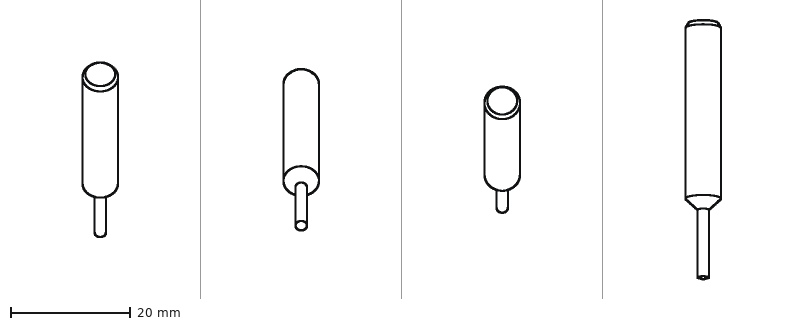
import cadquery as cq
import math

total_length = 44.0

shank_diameter = 6.0
shank_start = 13.85
end_chamfer_width = 0.5
end_chamfer_height = 0.85

drill_diameter = 1.95
drill_length = 11.95
tip_angle = 140.0

shank_radius = shank_diameter / 2
drill_radius = drill_diameter / 2
tip_height = drill_radius / math.tan(math.radians(tip_angle / 2))


def revolve_about_z(profile_points):
    """Turn a closed (radius, height) outline about the Z axis."""
    return (
        cq.Workplane("XZ")
        .polyline(profile_points)
        .close()
        .revolve(360, (0, 0, 0), (0, 1, 0))
    )


def make_shank():
    """Cylindrical shank, chamfered at the top and tapering down to the drill."""
    return revolve_about_z([
        (0, drill_length),
        (drill_radius, drill_length),
        (shank_radius, shank_start),
        (shank_radius, total_length - end_chamfer_height),
        (shank_radius - end_chamfer_width, total_length),
        (0, total_length),
    ])


def make_drill():
    """Slim drill with a conical point, butting against the shank cone."""
    return revolve_about_z([
        (0, 0),
        (drill_radius, tip_height),
        (drill_radius, drill_length),
        (0, drill_length),
    ])


shank = make_shank()
drill = make_drill()

result = cq.Compound.makeCompound([shank.val(), drill.val()])